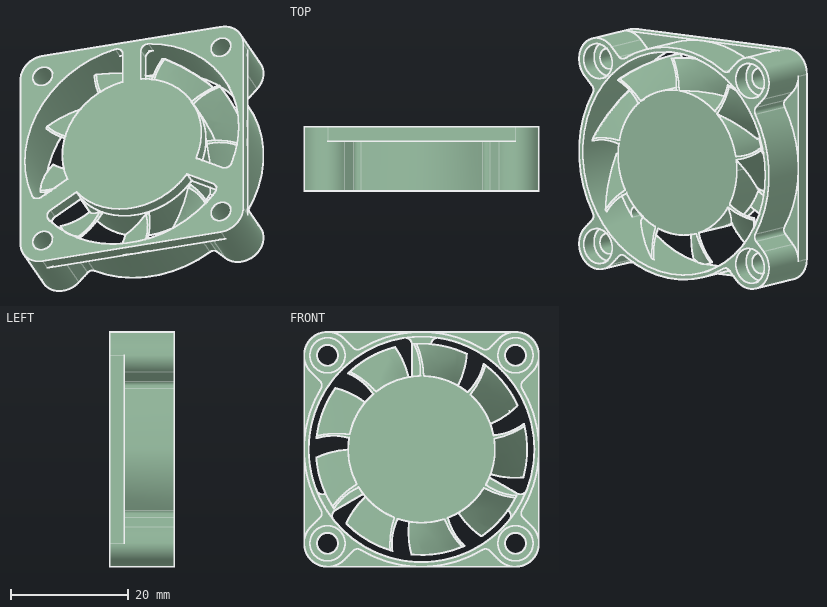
import cadquery as cq
import math

SIDE = 40.0
DEPTH = 11.0
CORNER_RADIUS = 4.0
PLATE_THICKNESS = 2.5
PLATE_FRONT = DEPTH - PLATE_THICKNESS

DUCT_OUTER_RADIUS = SIDE / 2
DUCT_DIAMETER = 38.4

BOSS_OFFSET = SIDE / 2 - CORNER_RADIUS
WEB_WIDTH = 2 * CORNER_RADIUS
WEB_FILLET = 1.0
SCREW_HOLE_DIAMETER = 3.5
COUNTERBORE_DIAMETER = 6.0
COUNTERBORE_DEPTH = 3.0

STRUT_COUNT = 3
STRUT_WIDTH = 3.3
STRUT_FILLET = 1.15
FIRST_STRUT_ANGLE = 90.0

HUB_DIAMETER = 25.0
HUB_RADIUS = HUB_DIAMETER / 2
HUB_FRONT = 1.0
HUB_DEPTH = PLATE_FRONT - HUB_FRONT
BLADE_COUNT = 9
BLADE_DEPTH = 7.0
BLADE_TWIST = 28.2
BLADE_ROOT_RADIUS = 12.0
BLADE_MIDDLE_RADIUS = 15.2
BLADE_TIP_RADIUS = 18.0
BLADE_LOWER_ANGLES = (8.2, 9.8, 12.7)
BLADE_UPPER_ANGLES = (11.6, 11.3, 14.1)


def plane_at(y):
    """Workplane facing the front (-Y), at depth y; its local axes are X and Z."""
    return cq.Workplane("XZ", origin=(0, y, 0))


def polar(radius, angle):
    return (radius * math.cos(math.radians(angle)), radius * math.sin(math.radians(angle)))


def make_outline():
    """Full-depth round duct with diagonal webs ending in the round corner bosses."""
    body = plane_at(DEPTH).circle(DUCT_OUTER_RADIUS).extrude(DEPTH)
    boss_distance = BOSS_OFFSET * math.sqrt(2)
    for angle in (45, 135):
        web = (
            plane_at(DEPTH)
            .transformed(rotate=(0, 0, angle))
            .slot2D(2 * boss_distance + WEB_WIDTH, WEB_WIDTH)
            .extrude(DEPTH)
        )
        body = body.union(web)
    web_reach = math.sqrt(DUCT_OUTER_RADIUS**2 - (WEB_WIDTH / 2) ** 2)
    web_half_angle = math.degrees(math.atan2(WEB_WIDTH / 2, web_reach))
    for corner_angle in (45, 135, 225, 315):
        for side in (-1, 1):
            x, z = polar(DUCT_OUTER_RADIUS, corner_angle + side * web_half_angle)
            junction = cq.selectors.NearestToPointSelector((x, DEPTH / 2, z))
            body = body.edges("|Y").edges(junction).fillet(WEB_FILLET)
    return body


def make_motor_mount():
    """Base disc behind the hub, held by struts that flare where they meet the duct."""
    duct_radius = DUCT_DIAMETER / 2
    strut_end = (duct_radius + DUCT_OUTER_RADIUS) / 2
    mount = plane_at(DEPTH).circle(strut_end).circle(duct_radius).extrude(PLATE_THICKNESS)
    base = plane_at(DEPTH).circle(HUB_RADIUS).extrude(PLATE_THICKNESS)
    mount = mount.union(base)
    strut_half_angle = math.degrees(math.asin(STRUT_WIDTH / 2 / duct_radius))
    strut_angles = [FIRST_STRUT_ANGLE + i * 360 / STRUT_COUNT for i in range(STRUT_COUNT)]
    for angle in strut_angles:
        strut = (
            plane_at(DEPTH)
            .transformed(rotate=(0, 0, angle))
            .center(duct_radius / 2, 0)
            .rect(duct_radius, STRUT_WIDTH)
            .extrude(PLATE_THICKNESS)
        )
        mount = mount.union(strut)
    for angle in strut_angles:
        for side in (-1, 1):
            x, z = polar(duct_radius, angle + side * strut_half_angle)
            junction = cq.selectors.NearestToPointSelector((x, DEPTH - PLATE_THICKNESS / 2, z))
            mount = mount.edges("|Y").edges(junction).fillet(STRUT_FILLET)
    return mount


def make_housing():
    wide_plate = plane_at(DEPTH).rect(SIDE, 2 * BOSS_OFFSET).extrude(PLATE_THICKNESS)
    tall_plate = plane_at(DEPTH).rect(2 * BOSS_OFFSET, SIDE).extrude(PLATE_THICKNESS)
    duct_bore = plane_at(DEPTH).circle(DUCT_DIAMETER / 2).extrude(DEPTH)
    housing = make_outline().union(wide_plate.union(tall_plate)).cut(duct_bore).union(make_motor_mount())
    return (
        housing.copyWorkplane(plane_at(0))
        .rect(2 * BOSS_OFFSET, 2 * BOSS_OFFSET, forConstruction=True)
        .vertices()
        .cboreHole(SCREW_HOLE_DIAMETER, COUNTERBORE_DIAMETER, COUNTERBORE_DEPTH)
    )


def make_blade(angle):
    """Curved blade section twisted from its rear end forward to the hub's front face."""
    radii = (BLADE_ROOT_RADIUS, BLADE_MIDDLE_RADIUS, BLADE_TIP_RADIUS)
    lower = [polar(r, a) for r, a in zip(radii, BLADE_LOWER_ANGLES)]
    upper = [polar(r, a) for r, a in zip(radii, BLADE_UPPER_ANGLES)]
    tip_middle = polar(BLADE_TIP_RADIUS, (BLADE_LOWER_ANGLES[-1] + BLADE_UPPER_ANGLES[-1]) / 2)
    return (
        plane_at(HUB_FRONT + BLADE_DEPTH)
        .transformed(rotate=(0, 0, angle - BLADE_TWIST))
        .moveTo(*lower[0])
        .threePointArc(lower[1], lower[2])
        .threePointArc(tip_middle, upper[2])
        .threePointArc(upper[1], upper[0])
        .close()
        .twistExtrude(BLADE_DEPTH, BLADE_TWIST)
    )


def make_rotor():
    rotor = plane_at(HUB_FRONT + HUB_DEPTH).circle(HUB_RADIUS).extrude(HUB_DEPTH)
    for i in range(BLADE_COUNT):
        rotor = rotor.union(make_blade(i * 360 / BLADE_COUNT))
    return rotor


housing = make_housing()
rotor = make_rotor()

result = cq.Compound.makeCompound([housing.val(), rotor.val()])